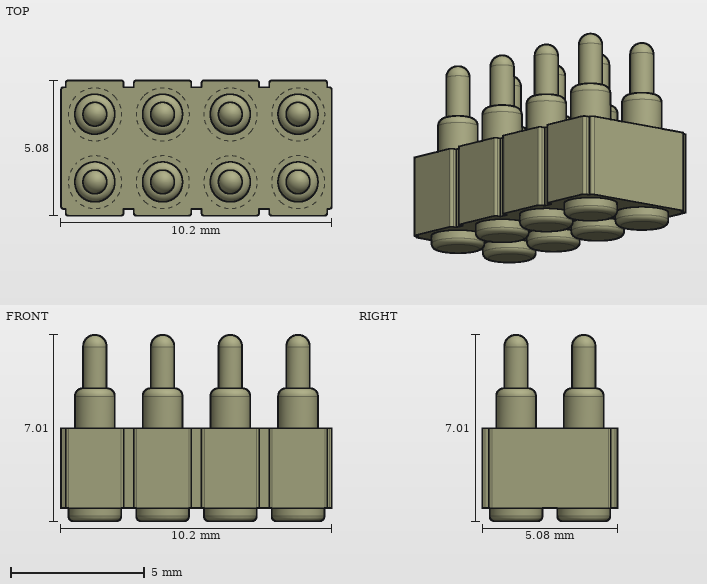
import cadquery as cq

pitch = 2.54
columns = 4
rows = 2

body_length = columns * pitch
body_width = rows * pitch
body_height = 3.0
notch_width = 0.38
notch_depth = 0.25
corner_step = 0.17
edge_radius = 0.1

pad_radius = 1.0
pad_height = 0.5
pad_fillet = 0.2

barrel_radius = 0.75
barrel_height = 1.5
pin_radius = 0.45
pin_height = 3.51
shoulder_radius = barrel_radius - pin_radius


def rounded_block(left, right, width):
    """Block of full body height from left to right along X, with rounded upright edges."""
    return (
        cq.Workplane("XY")
        .center((left + right) / 2, 0)
        .box(right - left, width, body_height, centered=(True, True, False))
        .edges("|Z")
        .fillet(edge_radius)
    )


def make_body():
    """Core block crossed by one wider block per column, leaving notches and stepped corners."""
    core_width = body_width - 2 * notch_depth
    body = rounded_block(-body_length / 2, body_length / 2, core_width)
    for column in range(columns):
        left_gap = corner_step if column == 0 else notch_width / 2
        right_gap = corner_step if column == columns - 1 else notch_width / 2
        cell_left = column * pitch - body_length / 2
        cell_right = cell_left + pitch
        body = body.union(rounded_block(cell_left + left_gap, cell_right - right_gap, body_width))
    return body


def make_contact():
    """Pad, barrel with a rounded shoulder and round-tipped pin, turned about Z."""
    barrel_top = body_height + barrel_height
    tip = body_height + pin_height
    tip_center = tip - pin_radius
    profile = (
        cq.Workplane("XZ")
        .moveTo(0, -pad_height)
        .lineTo(pad_radius - pad_fillet, -pad_height)
        .radiusArc((pad_radius, pad_fillet - pad_height), -pad_fillet)
        .lineTo(pad_radius, 0)
        .lineTo(barrel_radius, 0)
        .lineTo(barrel_radius, barrel_top - shoulder_radius)
        .radiusArc((pin_radius, barrel_top), -shoulder_radius)
        .lineTo(pin_radius, tip_center)
        .radiusArc((0, tip), -pin_radius)
        .close()
    )
    return profile.revolve(360, (0, 0), (0, 1))


contact_centers = [
    ((column - (columns - 1) / 2) * pitch, (row - (rows - 1) / 2) * pitch)
    for column in range(columns)
    for row in range(rows)
]

contact = make_contact()
result = make_body()
for x, y in contact_centers:
    result = result.union(contact.translate((x, y, 0)))